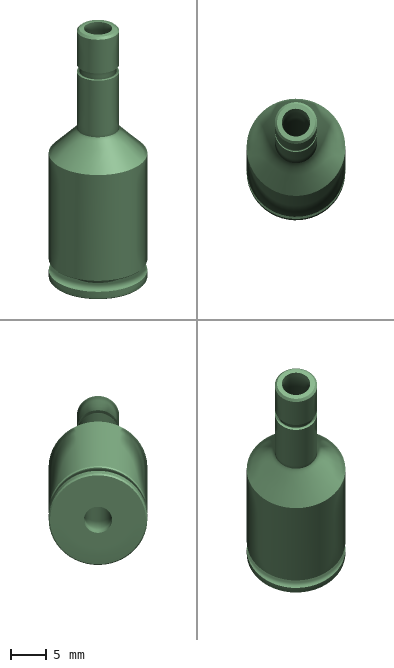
import cadquery as cq

length = 39.5
body_dia = 14.0
stem_dia = 6.0
bore_dia = 4.0

flange_height = 1.25
flange_chamfer = 0.2
collar_neck_dia = 8.4
collar_neck_height = 1.58

body_bottom = flange_height + collar_neck_height
body_top = 19.75
body_chamfer = 0.15
shoulder_height = (body_dia - stem_dia) / 2

groove_dia = 5.2
groove_bottom = 32.7
groove_width = 1.15
tip_chamfer = 0.3


def cylinder(diameter, bottom, top):
    """Upright cylinder on the Z axis between two heights."""
    return cq.Workplane("XY").workplane(offset=bottom).circle(diameter / 2).extrude(top - bottom)


flange = cylinder(body_dia, 0, flange_height).faces("<Z").chamfer(flange_chamfer)
collar_neck = cylinder(collar_neck_dia, 0, body_bottom)

body = cylinder(body_dia, body_bottom, body_top).faces("<Z").chamfer(body_chamfer)

shoulder = cq.Workplane("XY").add(
    cq.Solid.makeCone(body_dia / 2, stem_dia / 2, shoulder_height, pnt=cq.Vector(0, 0, body_top))
)

stem = cylinder(stem_dia, body_top, length).faces(">Z").chamfer(tip_chamfer)
groove_top = groove_bottom + groove_width
groove_ring = cylinder(stem_dia, groove_bottom, groove_top).cut(
    cylinder(groove_dia, groove_bottom, groove_top)
)
stem = stem.cut(groove_ring)

bore = cylinder(bore_dia, 0, length)

result = flange.union(collar_neck).union(body).union(shoulder).union(stem).cut(bore)